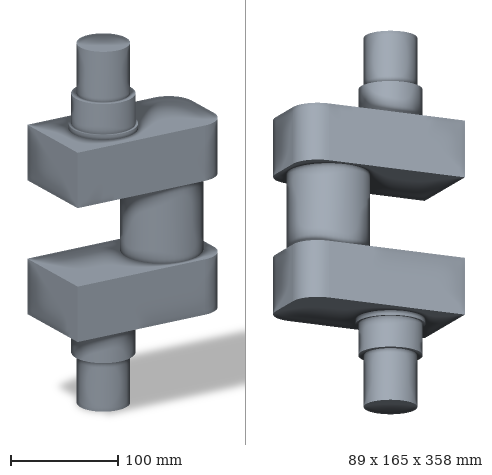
import cadquery as cq

total_length = 358.0

web_width = 89.0
web_depth = 165.0
web_thickness = 55.0
web_corner_radius = 25.0
shaft_to_web_front = 56.0

pin_diameter = 78.0
crank_throw = 64.0

collar_diameter = 65.0
collar_length = 4.5
journal_diameter = 60.0
journal_length = 30.0
end_diameter = 50.0
end_length = 50.0

shaft_length = collar_length + journal_length + end_length
web_gap = total_length - 2 * (shaft_length + web_thickness)


def cylinder(diameter, length, base_z, center_y=0.0):
    """Upright cylinder standing on the height base_z."""
    return (
        cq.Workplane("XY", origin=(0, center_y, base_z))
        .circle(diameter / 2)
        .extrude(length)
    )


def upper_web():
    """Web block above the pin, with its pin-side corners rounded."""
    center_y = web_depth / 2 - shaft_to_web_front
    return (
        cq.Workplane("XY", origin=(0, center_y, web_gap / 2))
        .rect(web_width, web_depth)
        .extrude(web_thickness)
        .edges("|Z and >Y")
        .fillet(web_corner_radius)
    )


def upper_shaft():
    """Collar, journal and end stacked outward from the web."""
    collar_z = web_gap / 2 + web_thickness
    journal_z = collar_z + collar_length
    end_z = journal_z + journal_length
    return (
        cylinder(collar_diameter, collar_length, collar_z)
        .union(cylinder(journal_diameter, journal_length, journal_z))
        .union(cylinder(end_diameter, end_length, end_z))
    )


upper_half = upper_web().union(upper_shaft())
lower_half = upper_half.mirror("XY")
crank_pin = cylinder(pin_diameter, web_gap, -web_gap / 2, crank_throw)

result = crank_pin.union(upper_half).union(lower_half)